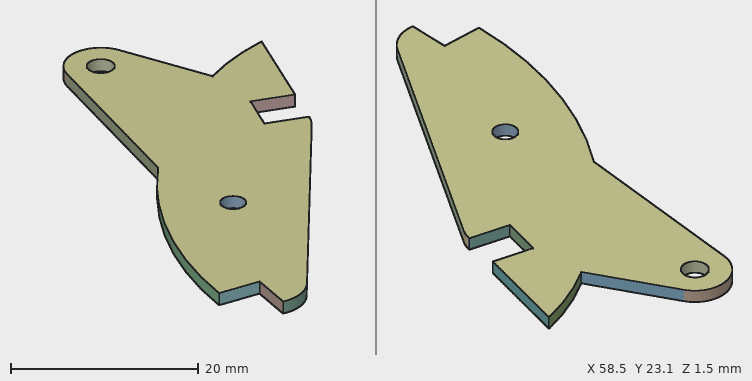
import cadquery as cq
import math

thickness = 1.5
pivot_hole_diameter = 3.0
pivot_end_radius = 4.0
second_hole_diameter = 2.8
second_hole_center = (32.53, 3.72)

tail_tip = (0.55, 17.98)
tail_root = (5.95, 10.58)
tail_arc_sag = 0.37

top_edge_slope = math.radians(-1.75)
slot_distance = 12.05
slot_size = 5.0

back_slope = math.radians(-19.9)
back_start_distance = 18.0
shoulder_radius = 4.0
nose_start_x = 51.7

nose_tip = (54.53, 1.77)
notch_slope = math.radians(11.2)
notch_size = 5.0

belly_start = (22.8, -1.4)
belly_sag = 2.18


def step(point, angle, distance):
    """Point reached by moving a distance from a point at an angle."""
    return (point[0] + distance * math.cos(angle), point[1] + distance * math.sin(angle))


def tangent_point(point, side):
    """Touch point on the pivot end of a line from an outer point; side is +1 or -1."""
    bearing = math.atan2(point[1], point[0])
    half_angle = math.acos(pivot_end_radius / math.hypot(*point))
    return step((0, 0), bearing + side * half_angle, pivot_end_radius)


def arc_middle(start, end, sag):
    """Middle of an arc that bulges to the right of the path from start to end."""
    middle = ((start[0] + end[0]) / 2, (start[1] + end[1]) / 2)
    heading = math.atan2(end[1] - start[1], end[0] - start[0])
    return step(middle, heading - math.pi / 2, sag)


def make_outline():
    """Closed outline, drawn clockwise from the tail tip."""
    square = math.pi / 2
    slot_left_top = step(tail_tip, top_edge_slope, slot_distance)
    slot_left_bottom = step(slot_left_top, top_edge_slope - square, slot_size)
    slot_right_bottom = step(slot_left_bottom, top_edge_slope, slot_size)
    slot_right_top = step(slot_right_bottom, top_edge_slope + square, slot_size)

    corner = step(tail_tip, top_edge_slope, back_start_distance)
    setback = shoulder_radius * math.tan((top_edge_slope - back_slope) / 2)
    shoulder_start = step(corner, top_edge_slope, -setback)
    shoulder_end = step(corner, back_slope, setback)
    back_length = (nose_start_x - corner[0]) / math.cos(back_slope)
    nose_start = step(corner, back_slope, back_length)

    notch_corner = step(nose_tip, notch_slope, -notch_size)
    notch_end = step(notch_corner, notch_slope - square, notch_size)

    return (
        cq.Workplane("XY")
        .moveTo(*tail_tip)
        .lineTo(*slot_left_top)
        .lineTo(*slot_left_bottom)
        .lineTo(*slot_right_bottom)
        .lineTo(*slot_right_top)
        .lineTo(*shoulder_start)
        .tangentArcPoint(shoulder_end, relative=False)
        .lineTo(*nose_start)
        .tangentArcPoint(nose_tip, relative=False)
        .lineTo(*notch_corner)
        .lineTo(*notch_end)
        .threePointArc(arc_middle(belly_start, notch_end, belly_sag), belly_start)
        .lineTo(*tangent_point(belly_start, -1))
        .threePointArc((-pivot_end_radius, 0), tangent_point(tail_root, 1))
        .lineTo(*tail_root)
        .threePointArc(arc_middle(tail_tip, tail_root, tail_arc_sag), tail_tip)
        .close()
    )


def make_hole(center, diameter):
    """Cylinder that removes a through hole."""
    return cq.Workplane("XY").center(*center).circle(diameter / 2).extrude(thickness)


plate = make_outline().extrude(thickness)
pivot_hole = make_hole((0, 0), pivot_hole_diameter)
second_hole = make_hole(second_hole_center, second_hole_diameter)
result = plate.cut(pivot_hole).cut(second_hole)